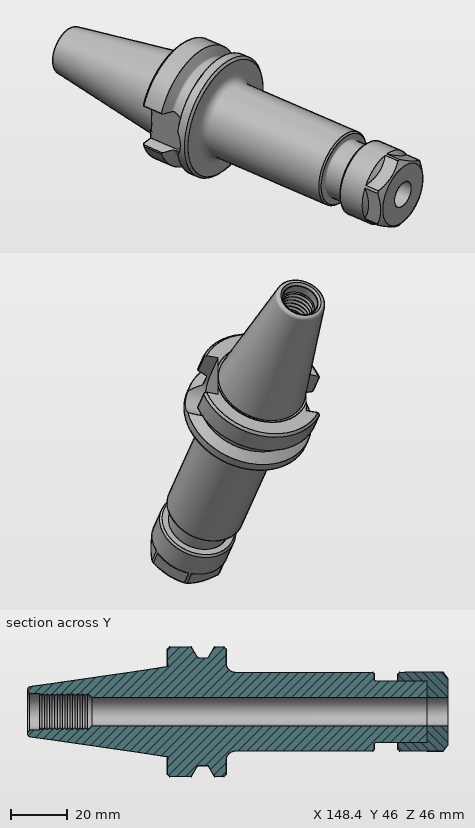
import cadquery as cq
import math

TOTAL_LENGTH = 148.4
FLANGE_START = 49.3
FLANGE_END = 70.2
GROOVE_FLOOR_START = 60.1
GROOVE_FLOOR_END = 63.7
SHANK_END = 122.5
NUT_START = 130.6
HEX_START = 141.0

TAPER_END_DIA = 17.7
TAPER_RATIO = 7 / 24
TAPER_END_ROUND = 1.2
FLANGE_DIA = 46.0
FLANGE_CHAMFER = 0.9
RELIEF_DIA = 33.7
RELIEF_DEPTH = 0.3
GROOVE_FLOOR_DIA = 38.1
GROOVE_FILLET = 0.7
GROOVE_WALL_ANGLE = 30.0
SHANK_DIA = 28.0
SHANK_FILLET = 3.1
SHANK_CHAMFER = 0.6
NECK_DIA = 22.0
NECK_FILLET = 0.5

SLOT_WIDTH = 16.6
SLOT_FLOOR = 16.2
SLOT_END = 67.5
SLOT_CHAMFER = 0.5

BORE_DIA = 9.8
MOUTH_DIA = 14.7
MOUTH_STEP_DIA = 13.0
COUNTERBORE_DIA = 12.6
COUNTERBORE_DEPTH = 4.3
THREAD_CREST_DIA = 11.3
THREAD_ROOT_DIA = 12.5
THREAD_PITCH = 1.8
THREAD_TURNS = 10

NUT_DIA = 28.0
NUT_CHAMFER = 0.7
NUT_FACE_DIA = 23.6
NUT_FACE_CHAMFER_LENGTH = 1.8
HEX_SIDES = 6
HEX_ACROSS_FLATS = 24.8


def revolve_about_x(points):
    return cq.Workplane("XY").polyline(points).close().revolve(360, (0, 0, 0), (1, 0, 0))


def cylinder_x(diameter, start, end):
    return cq.Workplane("YZ").workplane(offset=start).circle(diameter / 2).extrude(end - start)


def holder_blank():
    taper_r = TAPER_END_DIA / 2
    taper_base_r = taper_r + FLANGE_START * TAPER_RATIO / 2
    relief_r = RELIEF_DIA / 2
    flange_r = FLANGE_DIA / 2
    rim_r = flange_r - FLANGE_CHAMFER
    floor_r = GROOVE_FLOOR_DIA / 2
    wall_run = (flange_r - floor_r) * math.tan(math.radians(GROOVE_WALL_ANGLE))
    shank_r = SHANK_DIA / 2
    neck_r = NECK_DIA / 2
    profile = (
        cq.Workplane("XY")
        .moveTo(0, 0)
        .lineTo(0, taper_r)
        .lineTo(FLANGE_START, taper_base_r)
        .lineTo(FLANGE_START + RELIEF_DEPTH, taper_base_r)
        .lineTo(FLANGE_START + RELIEF_DEPTH, relief_r)
        .lineTo(FLANGE_START, relief_r)
        .lineTo(FLANGE_START, rim_r)
        .lineTo(FLANGE_START + FLANGE_CHAMFER, flange_r)
        .lineTo(GROOVE_FLOOR_START - wall_run, flange_r)
        .lineTo(GROOVE_FLOOR_START, floor_r)
        .lineTo(GROOVE_FLOOR_END, floor_r)
        .lineTo(GROOVE_FLOOR_END + wall_run, flange_r)
        .lineTo(FLANGE_END - FLANGE_CHAMFER, flange_r)
        .lineTo(FLANGE_END, rim_r)
        .lineTo(FLANGE_END, shank_r + SHANK_FILLET)
        .radiusArc((FLANGE_END + SHANK_FILLET, shank_r), -SHANK_FILLET)
        .lineTo(SHANK_END - SHANK_CHAMFER, shank_r)
        .lineTo(SHANK_END, shank_r - SHANK_CHAMFER)
        .lineTo(SHANK_END, neck_r + NECK_FILLET)
        .radiusArc((SHANK_END + NECK_FILLET, neck_r), -NECK_FILLET)
        .lineTo(HEX_START, neck_r)
        .lineTo(HEX_START, 0)
        .close()
    )
    blank = profile.revolve(360, (0, 0, 0), (1, 0, 0))
    blank = blank.faces("<X").edges().fillet(TAPER_END_ROUND)
    groove_corner = cq.selectors.BoxSelector(
        (GROOVE_FLOOR_START - GROOVE_FILLET, -FLANGE_DIA, -FLANGE_DIA),
        (GROOVE_FLOOR_START + GROOVE_FILLET, FLANGE_DIA, FLANGE_DIA),
    )
    return blank.edges("%CIRCLE").edges(groove_corner).fillet(GROOVE_FILLET)


def drive_slots():
    slot_r = SLOT_WIDTH / 2
    arc_centre = SLOT_END - slot_r
    slot = (
        cq.Workplane("XZ")
        .moveTo(FLANGE_START, -slot_r)
        .lineTo(arc_centre, -slot_r)
        .threePointArc((SLOT_END, 0), (arc_centre, slot_r))
        .lineTo(FLANGE_START, slot_r)
        .close()
        .extrude(FLANGE_DIA / 2)
    )
    slot = slot.translate((0, -SLOT_FLOOR, 0))
    return slot.union(slot.mirror("XZ"))


def bore():
    step_x = (MOUTH_DIA - MOUTH_STEP_DIA) / 2
    crest_r = THREAD_CREST_DIA / 2
    root_r = THREAD_ROOT_DIA / 2
    bore_r = BORE_DIA / 2
    profile = [
        (0, 0),
        (0, MOUTH_DIA / 2),
        (step_x, MOUTH_STEP_DIA / 2),
        (step_x, COUNTERBORE_DIA / 2),
        (COUNTERBORE_DEPTH, COUNTERBORE_DIA / 2),
        (COUNTERBORE_DEPTH, crest_r),
    ]
    for turn in range(THREAD_TURNS):
        turn_x = COUNTERBORE_DEPTH + turn * THREAD_PITCH
        profile.append((turn_x + THREAD_PITCH / 2, root_r))
        profile.append((turn_x + THREAD_PITCH, crest_r))
    thread_end = COUNTERBORE_DEPTH + THREAD_TURNS * THREAD_PITCH
    profile.append((thread_end + crest_r - bore_r, bore_r))
    profile.append((HEX_START, bore_r))
    profile.append((HEX_START, 0))
    return revolve_about_x(profile)


def chamfer_slot_edges(flanged):
    slot_r = SLOT_WIDTH / 2
    rim_edge_y = math.sqrt((FLANGE_DIA / 2) ** 2 - slot_r ** 2)
    for side in (-1, 1):
        y = side * rim_edge_y
        rim_edges = cq.selectors.BoxSelector(
            (FLANGE_START, y - SLOT_CHAMFER, -SLOT_WIDTH),
            (GROOVE_FLOOR_START, y + SLOT_CHAMFER, SLOT_WIDTH),
        )
        flanged = flanged.edges("|X").edges(rim_edges).chamfer(SLOT_CHAMFER)
    return flanged


def make_holder():
    flanged = holder_blank().cut(drive_slots())
    return chamfer_slot_edges(flanged).cut(bore())


def make_nut():
    nut_r = NUT_DIA / 2
    blank = revolve_about_x([
        (NUT_START, 0),
        (NUT_START, nut_r - NUT_CHAMFER),
        (NUT_START + NUT_CHAMFER, nut_r),
        (TOTAL_LENGTH - NUT_FACE_CHAMFER_LENGTH, nut_r),
        (TOTAL_LENGTH, NUT_FACE_DIA / 2),
        (TOTAL_LENGTH, 0),
    ])
    hex_diameter = HEX_ACROSS_FLATS / math.cos(math.pi / HEX_SIDES)
    flat_to_corner = 180 / HEX_SIDES
    prism = (
        cq.Workplane("YZ")
        .workplane(offset=NUT_START)
        .polygon(HEX_SIDES, hex_diameter)
        .extrude(TOTAL_LENGTH - NUT_START)
        .rotate((0, 0, 0), (1, 0, 0), flat_to_corner)
    )
    cone_end_r = NECK_DIA / 2
    cone_end = HEX_START + nut_r - cone_end_r
    collar = revolve_about_x([
        (NUT_START, 0),
        (NUT_START, nut_r),
        (HEX_START, nut_r),
        (cone_end, cone_end_r),
        (cone_end, 0),
    ])
    neck_recess = cylinder_x(NECK_DIA, NUT_START, HEX_START)
    tool_hole = cylinder_x(BORE_DIA, HEX_START, TOTAL_LENGTH)
    return blank.intersect(prism.union(collar)).cut(neck_recess).cut(tool_hole)


holder = make_holder()
nut = make_nut()
result = cq.Compound.makeCompound([holder.val(), nut.val()])